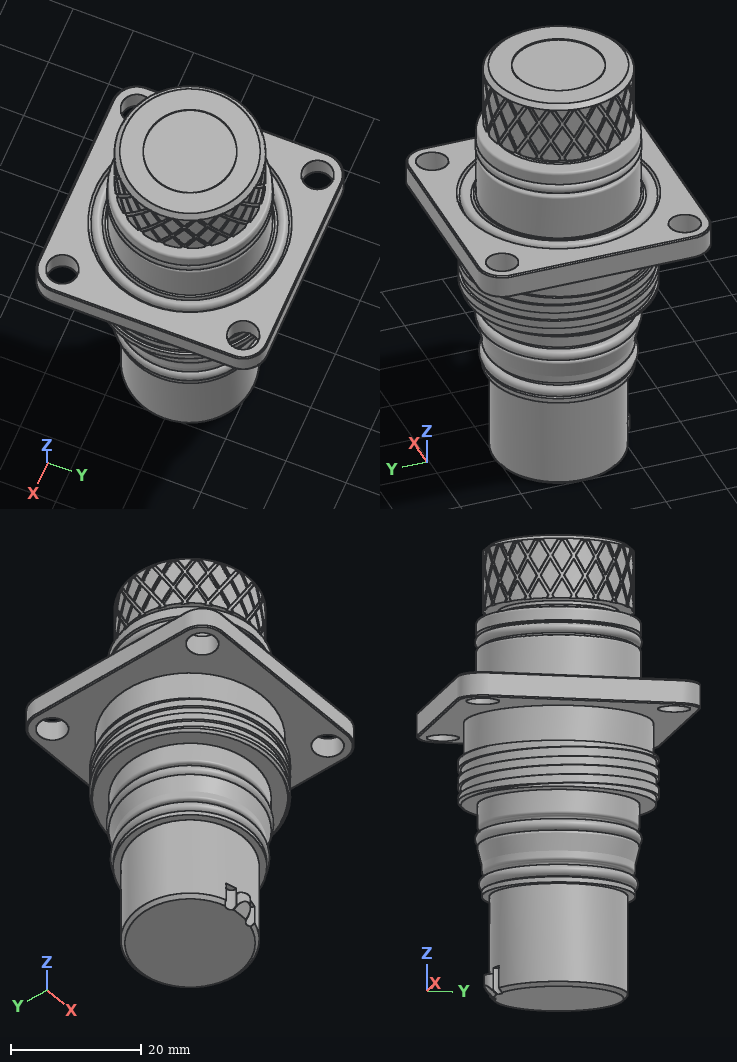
import cadquery as cq
import math

total_height = 70.5

plug_radius = 10.65
plug_end_chamfer = 0.6
plug_top = 15.97

lower_seat_radius = 11.81
upper_seat_radius = 12.5
cone_bottom = 20.9
cone_top = 23.55

thread_bottom = 30.3
thread_top = 37.45
thread_root_radius = 15.0
thread_crest_radius = 15.45
thread_pitch = 2.8
thread_ridge_width = 1.35
thread_start_angle = -160.0
sleeve_radius = 14.6

flange_width = 38.1
flange_bottom = 43.1
flange_top = 46.95
flange_corner_radius = 4.0
flange_chamfer = 0.2
flange_hole_diameter = 5.0
flange_hole_offset = 15.0

barrel_radius = 12.7
barrel_top = 59.0
barrel_top_fillet = 0.5

neck_radius = 9.3
neck_groove_radius = 9.1
neck_recess_radius = 10.3
neck_recess_depth = 0.35
neck_groove_bottom = 59.5
neck_groove_top = 59.9
cap_bottom = 60.5
cap_radius = 11.6
cap_chamfer_width = 0.7
cap_chamfer_height = 0.85
cap_recess_radius = 7.2
cap_recess_depth = 0.2

knurl_top = total_height - cap_chamfer_height
knurl_starts = 20
knurl_step = 360 / knurl_starts
knurl_row_height = 3.1
knurl_rows = 4
knurl_first_row = 61.0
knurl_groove_width = 0.6
knurl_depth = 0.2

key_diameter = 2.9
key_reach = 11.6
key_top = 3.25
relief_diameter = 2.0
relief_offset = 2.5
relief_top = 4.1

lower_section, lower_outer, lower_z = 1.75, 12.23, 17.9
middle_section, middle_outer, middle_z = 1.75, 12.8, 24.95
face_section, face_outer, face_rise = 1.75, 15.2, 0.4
face_z = flange_top + face_rise - face_section / 2

groove_fillet = 0.5
mouth_fillet = 0.4
lower_groove_bottom, lower_groove_top = 16.8, 19.45
middle_groove_bottom, middle_groove_top = 24.05, 26.5
upper_groove_bottom, upper_groove_top = 54.6, 56.8
upper_groove_floor = 11.8
face_groove_inner = 13.05
face_groove_outer = 15.65

bead_section, bead_outer, bead_z = 1.6, 12.8, 55.8


def tube(outer, inner, bottom, top):
    ring = cq.Workplane("XY").workplane(offset=bottom).circle(outer)
    return ring.circle(inner).extrude(top - bottom)


def disc(radius, bottom, top):
    return cq.Workplane("XY").workplane(offset=bottom).circle(radius).extrude(top - bottom)


def round_edge(body, radius, z, fillet):
    """Fillet the circular edge of the given radius at height z."""
    tolerance = 0.01
    edges = [
        edge
        for edge in body.edges("%CIRCLE").vals()
        if abs(edge.radius() - radius) < tolerance and abs(edge.Center().z - z) < tolerance
    ]
    return body.newObject(edges).fillet(fillet)


def seal_ring(section, outer, z):
    ring_radius = outer - section / 2
    profile = cq.Workplane("XZ").center(ring_radius, z).circle(section / 2)
    return profile.revolve(360, (-ring_radius, 0, 0), (-ring_radius, 1, 0))


def seal_groove(bottom, top, floor):
    """Ring-shaped cutter for a groove with rounded floor corners."""
    cutter = tube(sleeve_radius, floor, bottom, top)
    return cutter.edges(cq.selectors.RadiusNthSelector(0)).fillet(groove_fillet)


def turned_core():
    bead_center_radius = bead_outer - bead_section / 2
    bead_half_height = math.sqrt((bead_section / 2) ** 2 - (bead_center_radius - upper_groove_floor) ** 2)
    profile = (
        cq.Workplane("XZ")
        .moveTo(0, 0)
        .lineTo(plug_radius - plug_end_chamfer, 0)
        .lineTo(plug_radius, plug_end_chamfer)
        .lineTo(plug_radius, plug_top)
        .lineTo(lower_seat_radius, plug_top)
        .lineTo(lower_seat_radius, cone_bottom)
        .lineTo(upper_seat_radius, cone_top)
        .lineTo(upper_seat_radius, thread_bottom)
        .lineTo(thread_root_radius, thread_bottom)
        .lineTo(thread_root_radius, thread_top)
        .lineTo(sleeve_radius, thread_top)
        .lineTo(sleeve_radius, flange_top)
        .lineTo(barrel_radius, flange_top)
        .lineTo(barrel_radius, upper_groove_bottom)
        .lineTo(upper_groove_floor, upper_groove_bottom)
        .lineTo(upper_groove_floor, bead_z - bead_half_height)
        .threePointArc((bead_outer, bead_z), (upper_groove_floor, bead_z + bead_half_height))
        .lineTo(upper_groove_floor, upper_groove_top)
        .lineTo(barrel_radius, upper_groove_top)
        .lineTo(barrel_radius, barrel_top)
        .lineTo(neck_recess_radius, barrel_top)
        .lineTo(neck_recess_radius, barrel_top - neck_recess_depth)
        .lineTo(neck_radius, barrel_top - neck_recess_depth)
        .lineTo(neck_radius, neck_groove_bottom)
        .lineTo(neck_groove_radius, neck_groove_bottom)
        .lineTo(neck_groove_radius, neck_groove_top)
        .lineTo(neck_radius, neck_groove_top)
        .lineTo(neck_radius, cap_bottom)
        .lineTo(0, cap_bottom)
        .close()
    )
    core = profile.revolve(360, (0, 0, 0), (0, 1, 0))
    core = core.cut(seal_groove(lower_groove_bottom, lower_groove_top, lower_outer - lower_section))
    core = core.cut(seal_groove(middle_groove_bottom, middle_groove_top, middle_outer - middle_section))
    core = round_edge(core, barrel_radius, barrel_top, barrel_top_fillet)
    for radius, z in (
        (lower_seat_radius, lower_groove_top),
        (upper_seat_radius, middle_groove_bottom),
        (upper_seat_radius, middle_groove_top),
        (barrel_radius, upper_groove_bottom),
    ):
        core = round_edge(core, radius, z, mouth_fillet)
    return core


def face_groove():
    floor = face_z - face_section / 2
    cutter = tube(face_groove_outer, face_groove_inner, floor, flange_top)
    return cutter.faces("<Z").edges().fillet(groove_fillet)


def thread_ridge():
    """Helical ridge, swept past both ends of the thread and trimmed to its length."""
    start = thread_bottom - thread_pitch
    sweep_height = 4 * thread_pitch
    root_overlap = 0.2
    ridge_height = thread_crest_radius - thread_root_radius
    path = cq.Wire.makeHelix(thread_pitch, sweep_height, thread_root_radius)
    path = path.translate(cq.Vector(0, 0, start))
    profile = (
        cq.Workplane("XZ")
        .center((thread_root_radius + thread_crest_radius) / 2, start)
        .rect(ridge_height + 2 * root_overlap, thread_ridge_width)
    )
    ridge = profile.sweep(cq.Workplane(path), isFrenet=True)
    ridge = ridge.rotate((0, 0, 0), (0, 0, 1), thread_start_angle)
    envelope = disc(thread_crest_radius, thread_bottom, thread_top).faces("<Z").chamfer(ridge_height)
    return ridge.intersect(envelope.cut(disc(thread_root_radius - root_overlap / 2, 0, total_height)))


def flange():
    thickness = flange_top - flange_bottom
    plate = (
        cq.Workplane("XY")
        .workplane(offset=flange_bottom)
        .rect(flange_width, flange_width)
        .extrude(thickness)
        .edges("|Z")
        .fillet(flange_corner_radius)
        .faces("<Z or >Z")
        .edges()
        .chamfer(flange_chamfer)
    )
    holes = (
        cq.Workplane("XY")
        .workplane(offset=flange_bottom)
        .rect(2 * flange_hole_offset, 2 * flange_hole_offset, forConstruction=True)
        .vertices()
        .circle(flange_hole_diameter / 2)
        .extrude(thickness)
    )
    return plate.cut(holes)


def knurl_diamond():
    """One full diamond prism on the +X axis at Z = 0, reaching into the cap core."""
    half_width = cap_radius * math.sin(math.radians(knurl_step / 2)) - knurl_groove_width / 2
    half_height = half_width * 2 * knurl_row_height / (cap_radius * math.radians(knurl_step))
    corners = [(half_width, 0), (0, half_height), (-half_width, 0), (0, -half_height)]
    start = cap_radius - 3 * knurl_depth
    return cq.Workplane("YZ").workplane(offset=start).polyline(corners).close().extrude(4 * knurl_depth)


def knurl_diamonds():
    """Rows of diamonds around the cap, each row turned half a step from the one below."""
    diamond = knurl_diamond()
    envelope = disc(cap_radius, cap_bottom, knurl_top)
    diamonds = []
    for row in range(knurl_rows):
        z = knurl_first_row + row * knurl_row_height
        clipped = diamond.translate((0, 0, z)).intersect(envelope)
        first_angle = knurl_step * (row + 1) / 2
        for column in range(knurl_starts):
            angle = first_angle + knurl_step * column
            diamonds.append(clipped.rotate((0, 0, 0), (0, 0, 1), angle).val())
    return diamonds


def cap():
    head = disc(cap_radius, knurl_top, total_height)
    head = head.faces(">Z").chamfer(cap_chamfer_width, cap_chamfer_height)
    core = disc(cap_radius - knurl_depth, cap_bottom, knurl_top).union(head)
    recess = disc(cap_recess_radius, total_height - cap_recess_depth, total_height)
    return cq.Workplane(core.cut(recess).val().fuse(*knurl_diamonds()))


def key():
    """Round coding key on the -Y side, bevelled at 45 degrees towards the plug end."""
    radius = key_diameter / 2
    post = cq.Workplane("XY").center(0, radius - key_reach).circle(radius).extrude(key_top)
    end_radius = plug_radius - plug_end_chamfer
    bevel = key_reach - end_radius
    wedge = (
        cq.Workplane("YZ")
        .polyline([(-end_radius, 0), (-end_radius - bevel, 0), (-end_radius - bevel, bevel)])
        .close()
        .extrude(radius, both=True)
    )
    return post.cut(wedge)


def reliefs():
    y = -math.sqrt(plug_radius**2 - relief_offset**2)
    return (
        cq.Workplane("XY")
        .pushPoints([(-relief_offset, y), (relief_offset, y)])
        .circle(relief_diameter / 2)
        .extrude(relief_top)
    )


lower_ring = seal_ring(lower_section, lower_outer, lower_z)
middle_ring = seal_ring(middle_section, middle_outer, middle_z)
face_ring = seal_ring(face_section, face_outer, face_z)

housing = turned_core().union(flange()).cut(face_groove())
housing = housing.union(thread_ridge()).union(key()).cut(reliefs())
housing = housing.union(cap(), clean=False)

result = cq.Compound.makeCompound([body.val() for body in (housing, lower_ring, middle_ring, face_ring)])